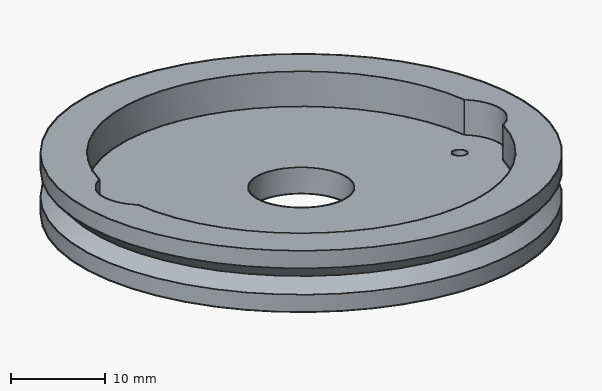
import cadquery as cq

outer_diameter = 55.0
height = 7.0

groove_width = 3.0
groove_depth = groove_width / 2

floor_thickness = 3.0
pocket_diameter = 45.2
lobe_diameter = 10.0

bore_diameter = 11.2
pin_hole_diameter = 1.7
pin_hole_offset = 19.3

pin_positions = [(0, pin_hole_offset), (0, -pin_hole_offset)]


def make_grooved_disc():
    """Disc with a V-groove, revolved about Z from its half section."""
    outer_radius = outer_diameter / 2
    mid_height = height / 2
    half_section = (
        cq.Workplane("XZ")
        .moveTo(0, 0)
        .lineTo(outer_radius, 0)
        .lineTo(outer_radius, mid_height - groove_width / 2)
        .lineTo(outer_radius - groove_depth, mid_height)
        .lineTo(outer_radius, mid_height + groove_width / 2)
        .lineTo(outer_radius, height)
        .lineTo(0, height)
        .close()
    )
    return half_section.revolve(360, (0, 0, 0), (0, 1, 0))


def make_pocket():
    """Round pocket volume with a lobe at each pin hole."""
    pocket_depth = height - floor_thickness
    floor_plane = cq.Workplane("XY").workplane(offset=floor_thickness)
    pocket = floor_plane.circle(pocket_diameter / 2).extrude(pocket_depth)
    lobes = floor_plane.pushPoints(pin_positions).circle(lobe_diameter / 2).extrude(pocket_depth)
    return pocket.union(lobes)


def make_floor_holes():
    """Central bore and the two pin holes, all passing through the floor."""
    bore = cq.Workplane("XY").circle(bore_diameter / 2).extrude(height)
    pin_holes = cq.Workplane("XY").pushPoints(pin_positions).circle(pin_hole_diameter / 2).extrude(height)
    return bore.union(pin_holes)


result = make_grooved_disc().cut(make_pocket()).cut(make_floor_holes())